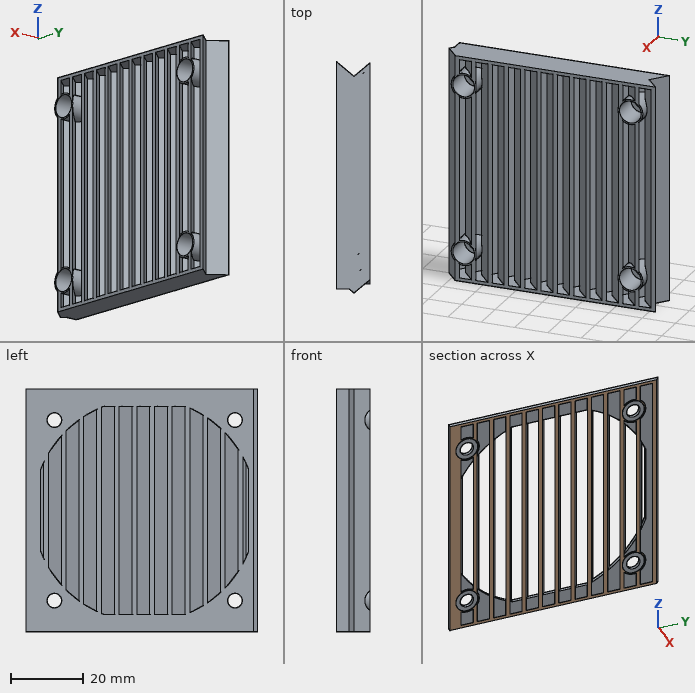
import cadquery as cq
import math


thickness = 9.3
width = 64.1
height = 67.3
fold_x = 4.85
fold_angle = math.radians(40.0)
fold_slope = math.tan(fold_angle)
front_fold = fold_x * fold_slope
back_fold = (thickness - fold_x) * fold_slope
lip_setback = 1.15
wall = 1.0

hole_spacing = 50.0
hole_diameter = 4.0
counterbore_diameter = 6.5
boss_diameter = 7.5
hole_to_ridge_tip = 6.25

ridge_tip_y = -hole_spacing / 2 - hole_to_ridge_tip
groove_bottom_y = ridge_tip_y + width - front_fold

opening_radius = 30.95
opening_side = 57.6

slat_count = 13
slat_width = wall / math.cos(fold_angle)
slat_pitch = (groove_bottom_y - ridge_tip_y - slat_width) / (slat_count - 1)
slot_width = slat_pitch - slat_width


def prism(points, prism_height):
    """Upright prism centred on Z = 0 with the given outline in the XY plane."""
    return cq.Workplane("XY").polyline(points).close().extrude(prism_height / 2, both=True)


def body():
    lip_y = ridge_tip_y + lip_setback
    outline = [
        (0, lip_y),
        (fold_x - lip_setback / fold_slope, lip_y),
        (fold_x, ridge_tip_y),
        (thickness, ridge_tip_y + back_fold),
        (thickness, groove_bottom_y + back_fold),
        (fold_x, groove_bottom_y),
        (0, groove_bottom_y + front_fold),
    ]
    return prism(outline, height)


def chevron_slot(index):
    """Slot through the thickness, as tall as the cavity; slot 0 lies just -Y of the ridge tip."""
    plus_y = ridge_tip_y + index * slat_pitch
    minus_y = plus_y - slot_width
    outline = [
        (0, plus_y + front_fold),
        (fold_x, plus_y),
        (thickness, plus_y + back_fold),
        (thickness, minus_y + back_fold),
        (fold_x, minus_y),
        (0, minus_y + front_fold),
    ]
    return prism(outline, height - 2 * wall)


def skin_opening():
    circle = cq.Workplane("YZ").circle(opening_radius).extrude(wall)
    flats = cq.Workplane("YZ").rect(opening_side, opening_side).extrude(wall)
    return circle.intersect(flats)


def behind_skin():
    """Block that covers everything behind the front skin."""
    size = 2 * height
    return cq.Workplane("YZ", origin=(wall, 0, 0)).rect(size, size).extrude(thickness)


def screw_cylinders(diameter, start_x):
    """Cylinders from start_x to the back at the four screw positions."""
    return (
        cq.Workplane("YZ", origin=(start_x, 0, 0))
        .rect(hole_spacing, hole_spacing, forConstruction=True)
        .vertices()
        .circle(diameter / 2)
        .extrude(thickness - start_x)
    )


result = body()

result = result.cut(chevron_slot(0).intersect(skin_opening()))
louvre_space = skin_opening().union(behind_skin())
for slot_index in range(1, slat_count):
    result = result.cut(chevron_slot(slot_index).intersect(louvre_space))

result = result.union(screw_cylinders(boss_diameter, wall))
result = result.cut(screw_cylinders(counterbore_diameter, wall))
result = result.cut(screw_cylinders(hole_diameter, 0))